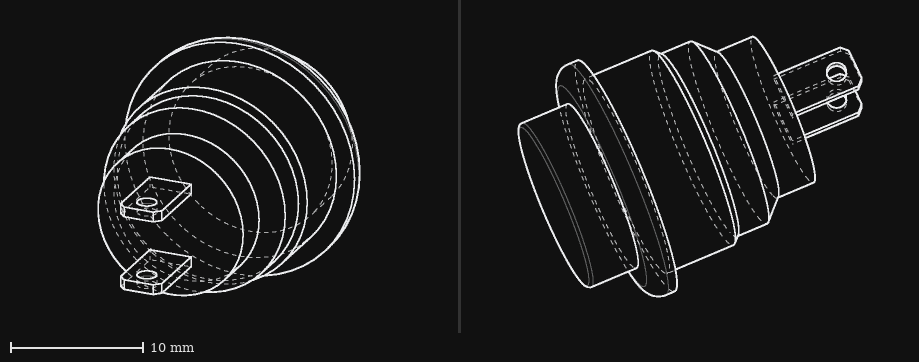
import cadquery as cq


BASE_REAR_Y = 6.0
CONE_START_Y = 9.0
CONE_END_Y = 10.5
SLEEVE_REAR_Y = 13.0
FLANGE_REAR_Y = 19.0
FLANGE_FRONT_Y = 21.0
BUTTON_FRONT_Y = 25.0

BASE_REAR_DIAMETER = 12.0
BASE_DIAMETER = 15.0
SLEEVE_DIAMETER = 16.0
FLANGE_DIAMETER = 19.0
BUTTON_DIAMETER = 13.5

SLEEVE_CHAMFER = (SLEEVE_DIAMETER - BASE_DIAMETER) / 2
FLANGE_ROUND = 1.25
BUTTON_ROUND = 0.25

TERMINAL_WIDTH = 3.4
TERMINAL_THICKNESS = 0.8
TERMINAL_SPACING = 6.0
TERMINAL_CHAMFER = 0.5
TERMINAL_HOLE_DIAMETER = 1.5
TERMINAL_HOLE_Y = 1.55


def disc(diameter, start_y, end_y):
    """Cylinder on the Y axis between two stations."""
    return (
        cq.Workplane("XZ", origin=(0, start_y, 0))
        .circle(diameter / 2)
        .extrude(start_y - end_y)
    )


def make_base():
    """Rear body, stepping down through a cone to the terminal face."""
    rear_radius = BASE_REAR_DIAMETER / 2
    front_radius = BASE_DIAMETER / 2
    profile = [
        (0, BASE_REAR_Y),
        (rear_radius, BASE_REAR_Y),
        (rear_radius, CONE_START_Y),
        (front_radius, CONE_END_Y),
        (front_radius, SLEEVE_REAR_Y),
        (0, SLEEVE_REAR_Y),
    ]
    return cq.Workplane("XY").polyline(profile).close().revolve(360, (0, 0), (0, 1))


def make_housing():
    """Sleeve with a chamfered rear edge and a rounded front flange."""
    sleeve = disc(SLEEVE_DIAMETER, SLEEVE_REAR_Y, FLANGE_REAR_Y)
    sleeve = sleeve.faces("<Y").edges().chamfer(SLEEVE_CHAMFER)
    flange = disc(FLANGE_DIAMETER, FLANGE_REAR_Y, FLANGE_FRONT_Y)
    flange = flange.faces(">Y").edges().fillet(FLANGE_ROUND)
    return sleeve.union(flange)


def make_button():
    """Round push cap standing on the front of the flange."""
    button = disc(BUTTON_DIAMETER, FLANGE_FRONT_Y, BUTTON_FRONT_Y)
    return button.faces(">Y").edges().fillet(BUTTON_ROUND)


def make_terminal(center_z):
    """Flat solder tab with clipped tip corners and a wire hole."""
    blade = (
        cq.Workplane("XY")
        .box(TERMINAL_WIDTH, BASE_REAR_Y, TERMINAL_THICKNESS, centered=(True, False, True))
        .edges("|Z and <Y")
        .chamfer(TERMINAL_CHAMFER)
    )
    wire_hole = (
        cq.Workplane("XY")
        .center(0, TERMINAL_HOLE_Y)
        .circle(TERMINAL_HOLE_DIAMETER / 2)
        .extrude(TERMINAL_THICKNESS, both=True)
    )
    return blade.cut(wire_hole).translate((0, 0, center_z))


base = make_base()
housing = make_housing()
button = make_button()
terminals = [make_terminal(side * TERMINAL_SPACING / 2) for side in (-1, 1)]

result = cq.Compound.makeCompound(
    [
        base.val(),
        housing.val(),
        button.val(),
        *[terminal.val() for terminal in terminals],
    ]
)